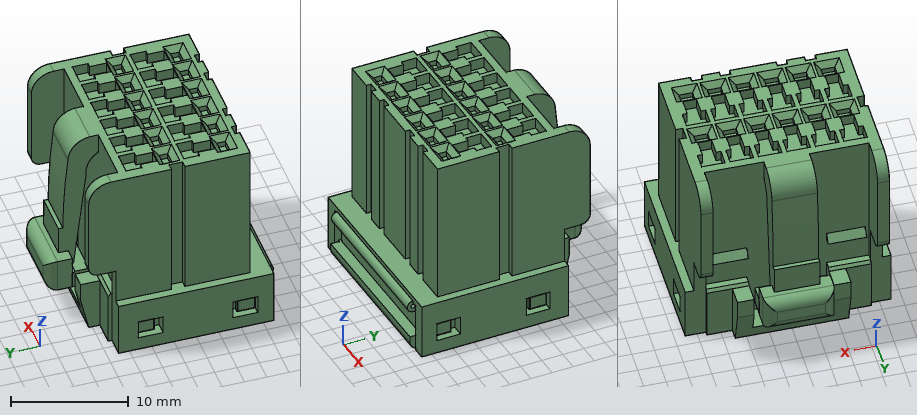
import cadquery as cq


BASE_WIDTH = 18.1
BASE_BACK = 13.92
BASE_HEIGHT = 5.2
STRIP_BACK = 14.26
STRIP_CHAMFER = 0.25

BODY_WIDTH = 16.58
BODY_FRONT = 1.87
BODY_BACK = 13.41
TOP = 18.5

WING_THICKNESS = 1.06
WING_BACK = 16.35
WING_BOTTOM = 8.5
WING_TOP_RADIUS = 2.0
WING_BOTTOM_RADIUS = 0.9
INNER_WIDTH = BODY_WIDTH - 2 * WING_THICKNESS

SIDE_GROOVE = (7.73, 8.93)
SIDE_GROOVE_DEPTH = 0.63
FRONT_GROOVES = ((2.05, 2.94), (4.53, 5.48))
FRONT_GROOVE_DEPTH = 0.44

COLUMNS = 6
COLUMN_PITCH = 2.5
ROW_PITCH = 5.18
ROWS = 2
SLOT_WIDE = 2.06
SLOT_NARROW = 1.2
SLOT_BACK = 12.67
SLOT_STEP = 11.25
SLOT_FRONT = 9.76
SLOT_DEPTH = 1.0
FUNNEL_LENGTH = 1.8
FUNNEL_WIDTH = 2.25
FUNNEL_CENTRE = 8.79
FUNNEL_DEPTH = 0.5
PIN_HOLE_WIDTH = 1.2
PIN_HOLE_LENGTH = 0.77
PIN_HOLE_DEPTH = SLOT_DEPTH - FUNNEL_DEPTH

RECESS_WIDTH = 15.72
RECESS_TOP = 4.52
RECESS_DEPTH = 0.95
FLAP_WIDTH = 15.34
FLAP_TOP = 4.0
FLAP_FACE = 0.57
FLAP_CHAMFER = 0.33
LIP_TOP = 1.36
LIP_FRONT = -0.44
LIP_RADIUS = 0.78
LIP_SHOULDER = 0.4
HINGE_RADIUS = 0.56
HINGE_BORE_RADIUS = 0.2
HINGE_Y = 0.03
HINGE_Z = 4.21
HINGE_LENGTH = 14.68

WINDOW_BOTTOM = 1.27
WINDOW_TOP = 2.99
WINDOW_FRONTS = (1.44, 9.93)
WINDOW_LENGTH = 2.23
WINDOW_DEPTH = 1.1
WINDOW_SHELF_DEPTH = 0.65
WINDOW_SHELF_LENGTH = 1.66
NUB_BOTTOM = 1.35
NUB_TOP = 2.55
NUB_MARGIN = 0.08
NUB_HEIGHT = 0.1

ARM_WIDTH = 4.0
ARM_ROOT = 14.18
ARM_CURVE_MIDDLE = (15.54, 17.86)
ARM_SHOULDER = (16.13, 16.4)
ARM_OUTER_MIDDLE = (16.46, 12.8)
ARM_TIP_INNER = 15.82
ARM_INNER_TOP = (14.5, 14.4)
ARM_INNER_MIDDLE = (14.2, 15.8)
ARM_ROOT_BOTTOM = 16.6
ARM_STEP_Z = 9.03
ARM_BACK = 16.59
CATCH_BACK = 16.98
TAB_WIDTH = 6.23
TAB_FRONT = 16.11
TAB_BACK = 18.42
TAB_BOTTOM = 3.24
TAB_TOP = 6.38
TAB_RADIUS = 1.0
TAB_CORNER_RADIUS = 1.0
FOOT_WIDTH = TAB_WIDTH - 0.04
FOOT_FRONT = 14.6
FOOT_TOP = 4.9
FOOT_CHAMFER = 0.26

GUARD_INNER = 3.51
GUARD_OUTER = 4.99
GUARD_BACK = 15.98
GUARD_TOP = 4.94
GUARD_TAPER_TOP = 3.14
GUARD_BOTTOM_BACK = 15.25
FLOOR_TOP = 1.2

RIDGE_OUTER = 6.9
RIDGE_BACK = 14.01
RIDGE_BOTTOM = 7.95
RIDGE_TOP = 8.65


def block(x, y, z):
    """Box given by its (low, high) ranges along each axis."""
    size = (x[1] - x[0], y[1] - y[0], z[1] - z[0])
    return cq.Workplane("XY").box(*size, centered=False).translate((x[0], y[0], z[0]))


def centred(width):
    return (-width / 2, width / 2)


def extrude_x(profile, x):
    """Extrude a profile drawn in the YZ plane over an X range."""
    return profile.extrude(x[1] - x[0]).translate((x[0], 0, 0))


def mirrored(shape):
    return shape.union(shape.mirror("YZ"))


def base():
    main = block(centred(BASE_WIDTH), (0, BASE_BACK), (0, BASE_HEIGHT))
    strip = block(centred(INNER_WIDTH), (BODY_BACK, STRIP_BACK), (0, BASE_HEIGHT))
    strip = strip.edges(">Y and >Z").chamfer(STRIP_CHAMFER)
    latch_gap = block((-GUARD_INNER, GUARD_INNER), (BODY_BACK, STRIP_BACK), (FLOOR_TOP, BASE_HEIGHT))
    return main.union(strip).cut(latch_gap)


def body():
    half_width = BODY_WIDTH / 2
    core = block(centred(BODY_WIDTH), (BODY_FRONT, BODY_BACK), (0, TOP))
    wing_x = (INNER_WIDTH / 2, half_width)
    wing = block(wing_x, (BODY_BACK, WING_BACK), (WING_BOTTOM, TOP))
    wing = wing.edges(">Y and >Z").fillet(WING_TOP_RADIUS)
    wing = wing.edges(">Y and <Z").fillet(WING_BOTTOM_RADIUS)
    pillar = block(wing_x, (BODY_BACK, BASE_BACK), (0, WING_BOTTOM))
    shape = core.union(mirrored(wing.union(pillar)))

    height = (BASE_HEIGHT, TOP)
    grooves = block((half_width - SIDE_GROOVE_DEPTH, half_width), SIDE_GROOVE, height)
    for x in FRONT_GROOVES:
        grooves = grooves.union(block(x, (BODY_FRONT, BODY_FRONT + FRONT_GROOVE_DEPTH), height))
    return shape.cut(mirrored(grooves))


def ridges():
    profile = cq.Workplane("YZ").polyline(
        [(BODY_BACK, RIDGE_BOTTOM), (RIDGE_BACK, RIDGE_BOTTOM), (BODY_BACK, RIDGE_TOP)]
    ).close()
    return mirrored(extrude_x(profile, (GUARD_INNER, RIDGE_OUTER)))


def terminal_cavity():
    """T-shaped slot and tapered pin entry of one terminal, in the back row at X = 0."""
    slot_z = (TOP - SLOT_DEPTH, TOP)
    slot = block(centred(SLOT_WIDE), (SLOT_STEP, SLOT_BACK), slot_z)
    slot = slot.union(block(centred(SLOT_NARROW), (SLOT_FRONT, SLOT_STEP), slot_z))
    funnel = (
        cq.Workplane("XY", origin=(0, FUNNEL_CENTRE, TOP))
        .rect(FUNNEL_WIDTH, FUNNEL_LENGTH)
        .workplane(offset=-FUNNEL_DEPTH)
        .rect(PIN_HOLE_WIDTH, PIN_HOLE_LENGTH)
        .loft(ruled=True)
    )
    pin_hole = (
        cq.Workplane("XY", origin=(0, FUNNEL_CENTRE, TOP - FUNNEL_DEPTH))
        .rect(PIN_HOLE_WIDTH, PIN_HOLE_LENGTH)
        .extrude(-PIN_HOLE_DEPTH)
    )
    return slot.union(funnel).union(pin_hole)


def cut_terminals(shape):
    cavity = terminal_cavity()
    for row in range(ROWS):
        for column in range(COLUMNS):
            x = (column - (COLUMNS - 1) / 2) * COLUMN_PITCH
            shape = shape.cut(cavity.translate((x, -row * ROW_PITCH, 0)))
    return shape


def front_recess():
    """Space around the flap: open above it and beside it, with a ledge beside the lip."""
    upper = block(centred(RECESS_WIDTH), (0, RECESS_DEPTH), (LIP_TOP, RECESS_TOP))
    lower = block(centred(RECESS_WIDTH), (0, LIP_SHOULDER), (0, LIP_TOP))
    return upper.union(lower)


def flap():
    profile = (
        cq.Workplane("YZ")
        .moveTo(RECESS_DEPTH, 0)
        .lineTo(LIP_FRONT + LIP_RADIUS, 0)
        .radiusArc((LIP_FRONT, LIP_RADIUS), LIP_RADIUS)
        .lineTo(LIP_FRONT, LIP_TOP)
        .lineTo(FLAP_FACE, LIP_TOP)
        .lineTo(FLAP_FACE, FLAP_TOP - FLAP_CHAMFER)
        .lineTo(FLAP_FACE + FLAP_CHAMFER, FLAP_TOP)
        .lineTo(RECESS_DEPTH, FLAP_TOP)
        .close()
    )
    return extrude_x(profile, centred(FLAP_WIDTH))


def hinge(radius):
    """Cylinder along the hinge axis."""
    profile = cq.Workplane("YZ").center(HINGE_Y, HINGE_Z).circle(radius)
    return extrude_x(profile, centred(HINGE_LENGTH))


def side_window(front, shelf_front):
    """Pocket in the +X side: a shelf with a raised nub, and a deeper slot beside it."""
    side = BASE_WIDTH / 2
    height = (WINDOW_BOTTOM, WINDOW_TOP)
    shelf_back = shelf_front + WINDOW_SHELF_LENGTH
    shelf_x = side - WINDOW_SHELF_DEPTH
    pocket = block((side - WINDOW_DEPTH, side), (front, front + WINDOW_LENGTH), height)
    shelf = block((side - WINDOW_DEPTH, shelf_x), (shelf_front, shelf_back), height)
    nub_y = (shelf_front + NUB_MARGIN, shelf_back - NUB_MARGIN)
    nub = block((shelf_x, shelf_x + NUB_HEIGHT), nub_y, (NUB_BOTTOM, NUB_TOP))
    return pocket.cut(shelf).cut(nub)


def side_windows():
    front, back = WINDOW_FRONTS
    front_window = side_window(front, front)
    back_window = side_window(back, back + WINDOW_LENGTH - WINDOW_SHELF_LENGTH)
    return mirrored(front_window.union(back_window))


def latch_arm():
    profile = (
        cq.Workplane("YZ")
        .moveTo(BODY_BACK, TOP)
        .lineTo(ARM_ROOT, TOP)
        .threePointArc(ARM_CURVE_MIDDLE, ARM_SHOULDER)
        .threePointArc(ARM_OUTER_MIDDLE, (ARM_BACK, ARM_STEP_Z))
        .lineTo(CATCH_BACK, ARM_STEP_Z)
        .lineTo(CATCH_BACK, TAB_BOTTOM)
        .lineTo(ARM_TIP_INNER, TAB_BOTTOM)
        .lineTo(*ARM_INNER_TOP)
        .threePointArc(ARM_INNER_MIDDLE, (BODY_BACK, ARM_ROOT_BOTTOM))
        .close()
    )
    return extrude_x(profile, centred(ARM_WIDTH))


def latch_tab():
    """Thumb tab, rounded from above and from the side, with a foot reaching towards the body."""
    blank = block(centred(TAB_WIDTH), (TAB_FRONT, TAB_BACK), (TAB_BOTTOM, TAB_TOP))
    rounded_corners = blank.edges(">Y and |Z").fillet(TAB_CORNER_RADIUS)
    rounded_edges = blank.edges(">Y and |X").fillet(TAB_RADIUS)
    tab = rounded_corners.intersect(rounded_edges)
    foot = block(centred(FOOT_WIDTH), (FOOT_FRONT, TAB_FRONT), (TAB_BOTTOM, FOOT_TOP))
    foot = foot.edges(">Y and >Z").chamfer(FOOT_CHAMFER)
    return tab.union(foot)


def latch_guards():
    outline = [
        (BODY_BACK, 0),
        (GUARD_BOTTOM_BACK, 0),
        (GUARD_BACK, GUARD_TAPER_TOP),
        (GUARD_BACK, GUARD_TOP),
        (BODY_BACK, GUARD_TOP),
    ]
    frame = extrude_x(cq.Workplane("YZ").polyline(outline).close(), (-GUARD_OUTER, GUARD_OUTER))
    opening = block((-GUARD_INNER, GUARD_INNER), (BODY_BACK, GUARD_BACK), (FLOOR_TOP, GUARD_TOP))
    return frame.cut(opening)


result = base().union(body()).union(ridges())
result = cut_terminals(result)
result = result.cut(front_recess()).union(flap())
result = result.union(hinge(HINGE_RADIUS)).cut(hinge(HINGE_BORE_RADIUS))
result = result.cut(side_windows())
result = result.union(latch_guards()).union(latch_arm()).union(latch_tab())